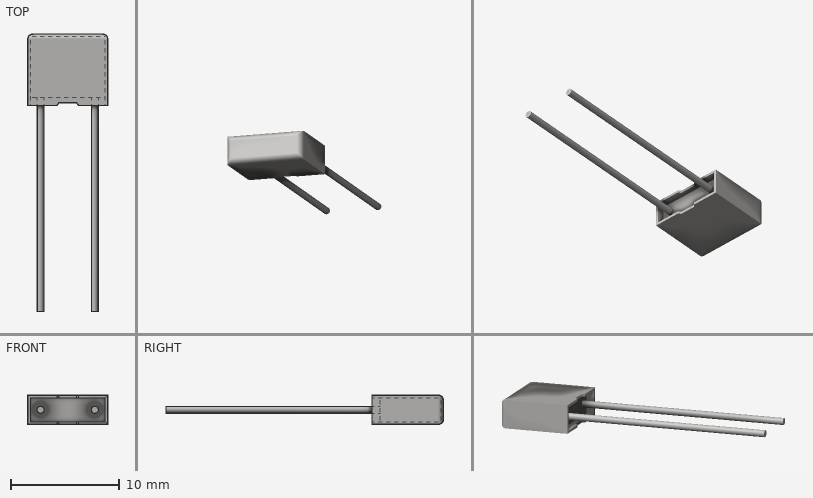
import cadquery as cq


case_width = 7.4
case_length = 6.6
case_height = 2.71
wall = 0.25
end_radius = 0.5

notch_mouth_width = 2.0
notch_floor_width = 1.6
notch_depth = 0.25

fill_recess = 0.75
fill_width = case_width - 2 * wall
fill_height = case_height - 2 * wall
fill_length = case_length - wall - fill_recess

lead_diameter = 0.65
lead_pitch = 5.0
lead_reach = 19.0
lead_length = lead_reach + fill_recess


def block(width, length, height, start_y):
    """Block centred in X and Z that runs toward +Y from start_y."""
    return cq.Workplane("XY").box(width, length, height).translate((0, start_y + length / 2, 0))


def make_notch_cutter():
    """Trapezoidal prism that opens both notches in one cut."""
    half_mouth = notch_mouth_width / 2
    half_floor = notch_floor_width / 2
    return (
        cq.Workplane("XY")
        .moveTo(-half_mouth, 0)
        .lineTo(-half_floor, notch_depth)
        .lineTo(half_floor, notch_depth)
        .lineTo(half_mouth, 0)
        .close()
        .extrude(case_height, both=True)
    )


def make_case():
    """Five-walled case with a rounded closed end and a notched open end."""
    shell = block(case_width, case_length, case_height, 0).faces(">Y").edges().fillet(end_radius)
    cavity = block(fill_width, case_length - wall, fill_height, 0)
    return shell.cut(cavity).cut(make_notch_cutter())


def make_fill():
    """Resin that fills the cavity up to a flat face set back from the opening."""
    return block(fill_width, fill_length, fill_height, fill_recess)


def make_lead(x):
    """Round wire that starts on the resin face and runs toward -Y."""
    return (
        cq.Workplane("XZ", origin=(x, fill_recess, 0))
        .circle(lead_diameter / 2)
        .extrude(lead_length)
    )


case = make_case()
fill = make_fill()
leads = [make_lead(side * lead_pitch / 2) for side in (-1, 1)]

result = cq.Compound.makeCompound([case.val(), fill.val(), *[lead.val() for lead in leads]])